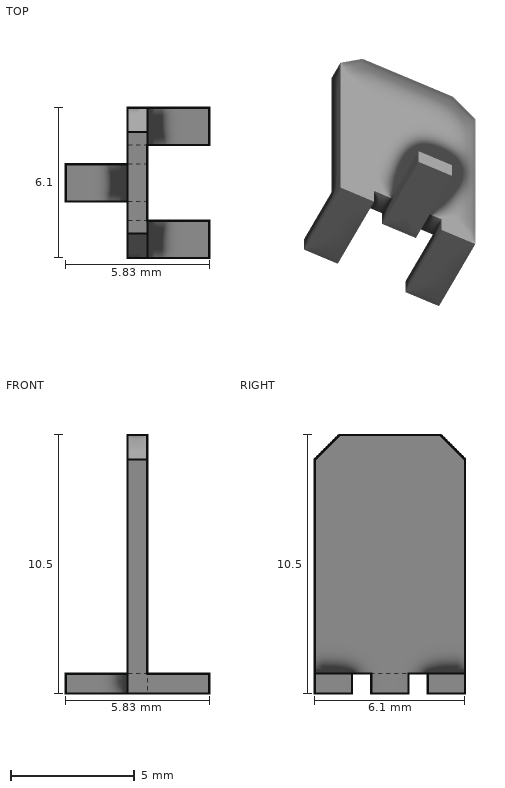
import cadquery as cq

sheet_thickness = 0.81
overall_length = 5.83
plate_width = 6.1
overall_height = 10.49
corner_chamfer = 1.0
foot_width = 1.52

foot_reach = (overall_length - sheet_thickness) / 2
foot_length = sheet_thickness + foot_reach
outer_foot_offset = (plate_width - foot_width) / 2


def make_plate():
    """Upright plate standing on the feet, with its two top corners cut off."""
    plate = cq.Workplane("XY").box(
        sheet_thickness,
        plate_width,
        overall_height - sheet_thickness,
        centered=(True, True, False),
    )
    plate = plate.edges("|X and >Z").chamfer(corner_chamfer)
    return plate.translate((0, 0, sheet_thickness))


def make_foot(direction, y_center):
    """Foot under the plate that reaches out along X; direction is +1 or -1."""
    foot = cq.Workplane("XY").box(
        foot_length, foot_width, sheet_thickness, centered=(True, True, False)
    )
    return foot.translate((direction * foot_reach / 2, y_center, 0))


result = make_plate().union(make_foot(-1, 0))
for side in (-1, 1):
    result = result.union(make_foot(1, side * outer_foot_offset))